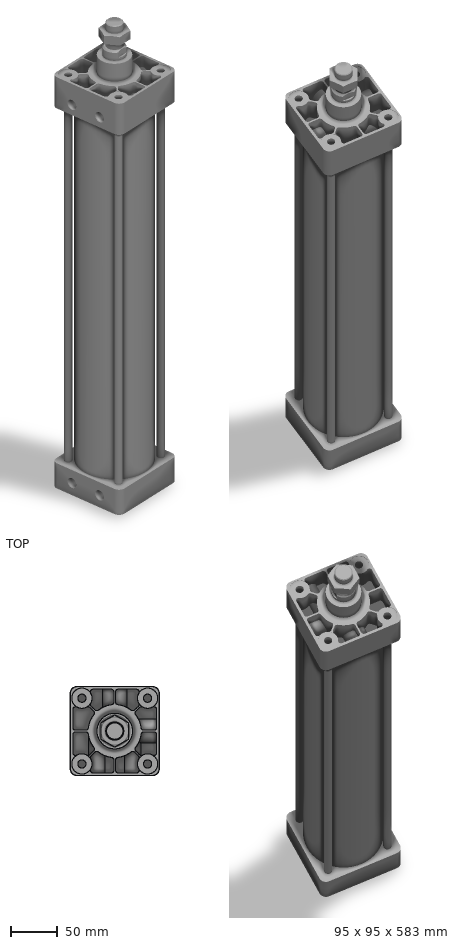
import cadquery as cq
import math


cap_width = 95.0
cap_corner_radius = 7.5
rear_spigot_height = 4.0
rear_cap_height = 31.5
tube_length = 445.0
front_cap_height = 39.0
nose_height = 22.0
spigot_diameter = 38.0
tube_diameter = 86.0

tie_rod_offset = 35.0
tie_rod_diameter = 9.0
post_diameter = 21.5
post_hole_diameter = 9.0
post_hole_depth = 23.5
post_recess = 0.5

wall_thickness = 3.0
pocket_depth = 26.0
pocket_fillet = 3.0
hub_diameter = 56.5
rib_thickness = 2.0
small_duct_diameter = 17.5
large_duct_diameter = 25.5

port_offset = 19.0
port_diameter = 11.0
port_depth = 11.5
port_chamfer = 0.5
port_tip_angle = 118
rear_port_height = 15.0

collar_diameter = 25.5
collar_height = 11.5
collar_chamfer = 2.0
flats_width = 21.5
flats_base = 3.5
thread_diameter = 19.0
thread_chamfer = 0.9

nut_width = 30.0
nut_height = 11.0
nut_chamfer_height = 0.5
thread_end_above_nut = 9.5

total_height = 583.0
rear_cap_base = rear_spigot_height
rear_cap_top = rear_cap_base + rear_cap_height
front_cap_base = rear_cap_top + tube_length
front_cap_top = front_cap_base + front_cap_height
nose_top = front_cap_top + nose_height
pocket_floor = front_cap_top - pocket_depth
front_port_level = pocket_floor
rear_port_level = rear_cap_base + rear_port_height
nut_top = total_height - thread_end_above_nut
nut_base = nut_top - nut_height

pocket_width = cap_width - 2 * wall_thickness


def corner_points(offset):
    """Four points at the same distance from the X and Y axes, one per corner of the cap."""
    return [(x, y) for x in (-offset, offset) for y in (-offset, offset)]


tie_rod_points = corner_points(tie_rod_offset)


def cylinder(diameter, base, top, points=((0, 0),)):
    """Upright round bars from one Z level to another."""
    plane = cq.Workplane("XY").workplane(offset=base)
    return plane.pushPoints(points).circle(diameter / 2).extrude(top - base)


def block(length, width, base, top):
    """Upright block centred on the Z axis."""
    plane = cq.Workplane("XY").workplane(offset=base)
    return plane.rect(length, width).extrude(top - base)


def cap(base, top):
    """Square end cap with rounded upright edges."""
    return block(cap_width, cap_width, base, top).edges("|Z").fillet(cap_corner_radius)


def duct(diameter, direction_angle, sideways):
    """Half-buried round duct on the pocket floor, running from the hub out into the wall."""
    length = pocket_width / 2
    bar = cq.Workplane("YZ").center(-sideways, front_port_level).circle(diameter / 2).extrude(length)
    return bar.rotate((0, 0, 0), (0, 0, 1), direction_angle)


def post_corners():
    """Blocks that fill the pocket corners outside the posts."""
    size = pocket_width / 2 - tie_rod_offset
    points = corner_points(tie_rod_offset + size / 2)
    plane = cq.Workplane("XY").workplane(offset=pocket_floor)
    return plane.pushPoints(points).rect(size, size).extrude(pocket_depth)


def pocket_ribs():
    """Straight and diagonal ribs that tie the hub to the walls and the corner posts."""
    diagonal_length = 2 * math.sqrt(2) * tie_rod_offset
    ribs = block(pocket_width, rib_thickness, pocket_floor, front_cap_top)
    spans = ((90, pocket_width), (45, diagonal_length), (135, diagonal_length))
    for angle, length in spans:
        rib = block(length, rib_thickness, pocket_floor, front_cap_top)
        ribs = ribs.union(rib.rotate((0, 0, 0), (0, 0, 1), angle))
    return ribs


def front_cap_pocket():
    """Space hollowed out of the front cap around the hub, posts, ribs and ducts."""
    pocket = block(pocket_width, pocket_width, pocket_floor, front_cap_top)
    pocket = pocket.cut(cylinder(hub_diameter, pocket_floor, front_cap_top))
    pocket = pocket.cut(cylinder(post_diameter, pocket_floor, front_cap_top, tie_rod_points))
    pocket = pocket.cut(post_corners())
    pocket = pocket.cut(pocket_ribs())
    pocket = pocket.edges("|Z").fillet(pocket_fillet)
    pocket = pocket.cut(duct(large_duct_diameter, 0, 0))
    pocket = pocket.cut(duct(large_duct_diameter, 90, 0))
    for side in (-1, 1):
        pocket = pocket.cut(duct(small_duct_diameter, -90, side * port_offset))
    return pocket


def port(x, z):
    """Blind drilled hole with a conical tip, entering from the -Y face."""
    radius = port_diameter / 2
    mouth_radius = radius + port_chamfer
    tip_length = radius / math.tan(math.radians(port_tip_angle / 2))
    half_profile = [
        (0, 0),
        (mouth_radius, 0),
        (radius, port_chamfer),
        (radius, port_depth),
        (0, port_depth + tip_length),
    ]
    drill = cq.Workplane("XY").polyline(half_profile).close().revolve(360, (0, 0, 0), (0, 1, 0))
    return drill.translate((x, -cap_width / 2, z))


def make_housing():
    """End caps, tube, tie rods, nose and rear spigot."""
    housing = cap(rear_cap_base, rear_cap_top).union(cap(front_cap_base, front_cap_top))
    housing = housing.cut(front_cap_pocket())
    housing = housing.union(cylinder(tube_diameter, rear_cap_top, front_cap_base))
    housing = housing.union(cylinder(tie_rod_diameter, rear_cap_top, front_cap_base, tie_rod_points))
    housing = housing.union(cylinder(spigot_diameter, 0, rear_cap_base))
    housing = housing.union(cylinder(spigot_diameter, front_cap_top, nose_top))
    post_top = front_cap_top - post_recess
    post_hole_floor = front_cap_top - post_hole_depth
    housing = housing.cut(cylinder(post_diameter, post_top, front_cap_top, tie_rod_points))
    housing = housing.cut(cylinder(post_hole_diameter, post_hole_floor, front_cap_top, tie_rod_points))
    for height in (rear_port_level, front_port_level):
        for side in (-1, 1):
            housing = housing.cut(port(side * port_offset, height))
    return housing


def make_piston_rod():
    """Chamfered collar with wrench flats facing -X and +X, and the thread as a plain bar."""
    collar_top = nose_top + collar_height
    collar = cylinder(collar_diameter, nose_top, collar_top).faces(">Z").chamfer(collar_chamfer)
    between_flats = block(flats_width, collar_diameter, nose_top + flats_base, collar_top)
    full_round = cylinder(collar_diameter, nose_top, nose_top + flats_base)
    collar = collar.intersect(between_flats.union(full_round))
    thread = cylinder(thread_diameter, collar_top, total_height).faces(">Z").chamfer(thread_chamfer)
    return collar.union(thread)


def make_nut():
    """Hexagonal lock nut with flats facing -X and +X and a chamfered upper face."""
    corner_diameter = nut_width / math.cos(math.radians(30))
    nut = cq.Workplane("XY").polygon(6, corner_diameter).extrude(nut_height)
    nut = nut.rotate((0, 0, 0), (0, 0, 1), 90).translate((0, 0, nut_base))
    chamfer_width = (corner_diameter - nut_width) / 2
    envelope = cylinder(corner_diameter, nut_base, nut_top)
    envelope = envelope.faces(">Z").chamfer(nut_chamfer_height, chamfer_width)
    nut = nut.intersect(envelope)
    return nut.cut(cylinder(thread_diameter, nut_base, nut_top))


housing = make_housing()
piston_rod = make_piston_rod()
nut = make_nut()

result = cq.Compound.makeCompound([housing.val(), piston_rod.val(), nut.val()])